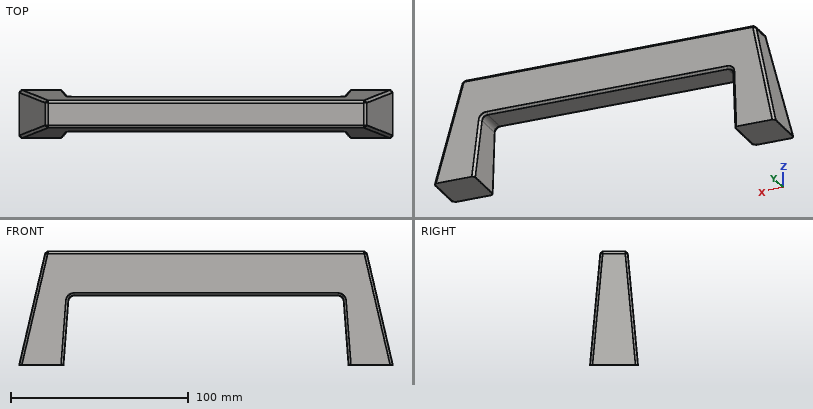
import cadquery as cq

length = 210.0
foot_width = 27.0
height = 64.0

foot_length = 25.0
outer_lean = 15.0
opening_height = 39.0
inner_lean = 3.0
corner_radius = 3.4

side_lean = 5.9
edge_chamfer = 1.5

half_length = length / 2
half_width = foot_width / 2
half_opening = half_length - foot_length
top_half_length = half_length - outer_lean
top_half_width = half_width - side_lean
half_grip = half_opening - inner_lean


def make_bridge():
    """Bridge outline with leaning legs, extruded across the foot width."""
    bridge = (
        cq.Workplane("XZ")
        .polyline([
            (-half_length, 0),
            (-top_half_length, height),
            (top_half_length, height),
            (half_length, 0),
            (half_opening, 0),
            (half_grip, opening_height),
            (-half_grip, opening_height),
            (-half_opening, 0),
        ])
        .close()
        .extrude(half_width, both=True)
    )
    opening_corners = cq.selectors.BoxSelector(
        (-half_opening, -half_width, opening_height / 2),
        (half_opening, half_width, (opening_height + height) / 2),
    )
    return bridge.edges("|Y").edges(opening_corners).fillet(corner_radius)


def make_taper():
    """Full-length wedge that narrows the broad faces towards the top."""
    return (
        cq.Workplane("YZ")
        .polyline([
            (-half_width, 0),
            (-top_half_width, height),
            (top_half_width, height),
            (half_width, 0),
        ])
        .close()
        .extrude(half_length, both=True)
    )


def break_edges(body):
    """Chamfer the borders of the broad faces and the top, leaving the feet sharp."""
    broad_sides = body.faces(cq.selectors.AreaNthSelector(-1))
    borders = broad_sides.edges().add(body.faces(">Z").edges())
    foot_edges = body.edges("<Z").vals()
    edges = [edge for edge in set(borders.vals()) if edge not in foot_edges]
    return body.newObject(edges).chamfer(edge_chamfer)


result = break_edges(make_bridge().intersect(make_taper()))